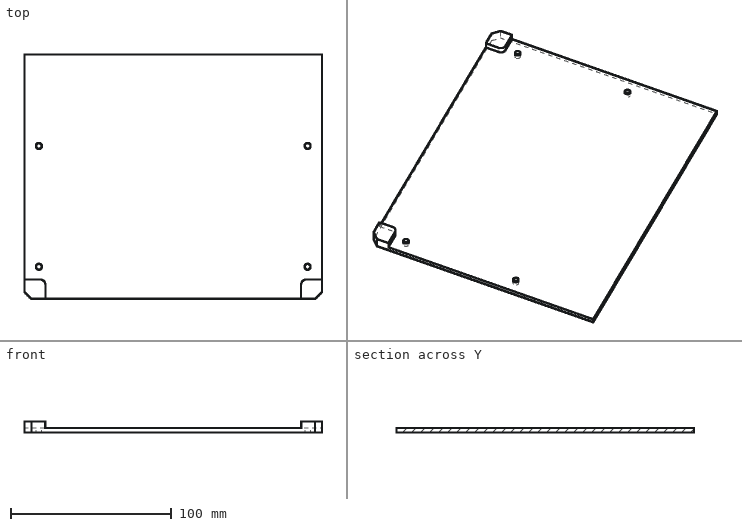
import cadquery as cq

length = 185.0
width = 152.0
total_height = 7.0

plate_thickness = 3.0
corner_chamfer = 4.3

pad_length = 13.0
pad_width = 12.0
pad_corner_radius = 3.0

hole_diameter = 3.5
hole_spacing_x = 167.0
hole_spacing_y = 75.1
front_hole_row = 20.0

half_length = length / 2


def make_base():
    """Flat plate with its two front corners cut off; front edge at Y = 0."""
    return (
        cq.Workplane("XY")
        .moveTo(-half_length + corner_chamfer, 0)
        .lineTo(half_length - corner_chamfer, 0)
        .lineTo(half_length, corner_chamfer)
        .lineTo(half_length, width)
        .lineTo(-half_length, width)
        .lineTo(-half_length, corner_chamfer)
        .close()
        .extrude(plate_thickness)
    )


def make_left_pad():
    """Full-height corner block with the plate's corner cut and a rounded inner corner."""
    inner_x = -half_length + pad_length
    return (
        cq.Workplane("XY")
        .moveTo(-half_length + corner_chamfer, 0)
        .lineTo(inner_x, 0)
        .lineTo(inner_x, pad_width - pad_corner_radius)
        .radiusArc((inner_x - pad_corner_radius, pad_width), -pad_corner_radius)
        .lineTo(-half_length, pad_width)
        .lineTo(-half_length, corner_chamfer)
        .close()
        .extrude(total_height)
    )


def make_holes():
    """Four vertical cylinders, one for each through hole."""
    return (
        cq.Workplane("XY")
        .center(0, front_hole_row + hole_spacing_y / 2)
        .rarray(hole_spacing_x, hole_spacing_y, 2, 2)
        .circle(hole_diameter / 2)
        .extrude(total_height)
    )


left_pad = make_left_pad()
right_pad = left_pad.mirror("YZ")
result = make_base().union(left_pad).union(right_pad).cut(make_holes())